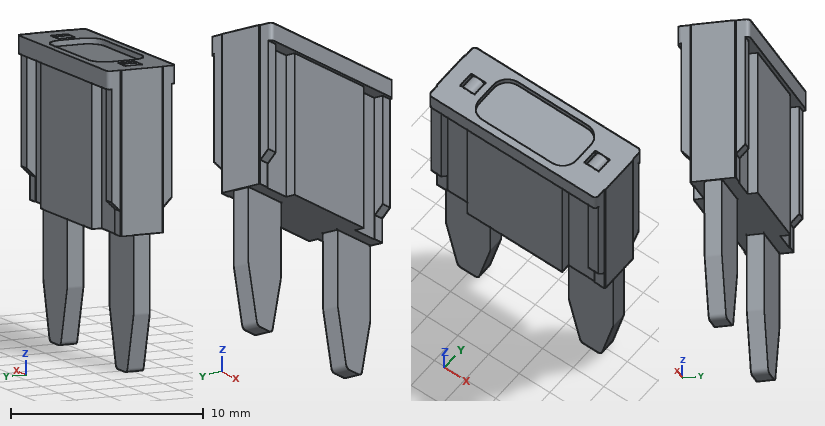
import cadquery as cq

total_height = 16.2
housing_bottom = 7.42

cap_length = 10.92
cap_width = 3.9
cap_thickness = 0.97
cap_corner_radius = 0.23
cap_bottom = total_height - cap_thickness
skirt_height = cap_bottom - housing_bottom

core_width = 2.37
panel_length = 6.19
panel_face_y = 1.73
column_inner_x = 4.8
column_outer_x = cap_length / 2
column_width = column_outer_x - column_inner_x
foot_face_y = 1.23
column_end_z = 9.25

end_to_end = 11.0
rib_face_width = 2.33
rib_root_width = 2.46
rib_face_x = end_to_end / 2

pocket_length = 6.33
pocket_width = 3.03
pocket_corner_radius = 0.9
pocket_depth = 0.3

conductor_thickness = 0.94
blade_outer_x = 5.46
blade_width = 2.92
blade_inner_x = blade_outer_x - blade_width
blade_center_x = blade_outer_x - blade_width / 2
taper_top = 3.2
tip_width = 1.33
tip_radius = 0.3
taper_bend_radius = 0.45
shoulder_radius = 0.16
shoulder_z = 7.48
bridge_height = 0.97
bridge_top = shoulder_z + bridge_height
tab_center_x = 4.05
tab_width = 0.94
tab_top_flat = 0.05
tab_top_radius = (tab_width - tab_top_flat) / 2


def upright_box(length, width, height, center, bottom):
    """Box centred on (x, y) whose lowest face is at the given height."""
    x, y = center
    return (
        cq.Workplane("XY", origin=(x, y, bottom))
        .rect(length, width)
        .extrude(height)
    )


def edges_along_y(body, left, right, height):
    """Edges parallel to Y at one height, between two X positions inclusive."""
    margin = 0.08
    region = cq.selectors.BoxSelector(
        (left - margin, -conductor_thickness, height - margin),
        (right + margin, conductor_thickness, height + margin),
    )
    return body.edges("|Y").edges(region)


def make_cap():
    cap = upright_box(cap_length, cap_width, cap_thickness, (0, 0), cap_bottom)
    return cap.edges("|Z").fillet(cap_corner_radius)


def make_end_rib(side):
    """Rib with slanted flanks on one narrow end; side is -1 or +1."""
    return (
        cq.Workplane("XY", origin=(0, 0, housing_bottom))
        .polyline([
            (side * column_inner_x, -rib_root_width / 2),
            (side * column_outer_x, -rib_root_width / 2),
            (side * rib_face_x, -rib_face_width / 2),
            (side * rib_face_x, rib_face_width / 2),
            (side * column_outer_x, rib_root_width / 2),
            (side * column_inner_x, rib_root_width / 2),
        ])
        .close()
        .extrude(total_height - housing_bottom)
    )


def make_column(side_x, side_y):
    """Corner column that steps back to a shallow foot along a 45 degree slope."""
    foot_top = column_end_z - (panel_face_y - foot_face_y)
    center_x = side_x * (column_inner_x + column_outer_x) / 2
    return (
        cq.Workplane("YZ", origin=(center_x, 0, 0))
        .polyline([
            (0, housing_bottom),
            (side_y * foot_face_y, housing_bottom),
            (side_y * foot_face_y, foot_top),
            (side_y * panel_face_y, column_end_z),
            (side_y * panel_face_y, cap_bottom),
            (0, cap_bottom),
        ])
        .close()
        .extrude(column_width / 2, both=True)
    )


def make_label_pocket():
    pocket = upright_box(
        pocket_length, pocket_width, pocket_depth, (0, 0), total_height - pocket_depth
    )
    return pocket.edges("|Z").fillet(pocket_corner_radius)


def make_tab_slot(side):
    """Passage of constant section for one contact tab, open at the top face."""
    height = total_height - bridge_top
    return upright_box(
        tab_width, conductor_thickness, height, (side * tab_center_x, 0), bridge_top
    )


def make_blade(side):
    """Flat blade with a tapered, rounded tip and rounded outer shoulder."""
    tip_left = blade_center_x - tip_width / 2
    tip_right = blade_center_x + tip_width / 2
    blade = (
        cq.Workplane("XZ")
        .polyline([
            (blade_inner_x, shoulder_z),
            (blade_inner_x, taper_top),
            (tip_left, 0),
            (tip_right, 0),
            (blade_outer_x, taper_top),
            (blade_outer_x, shoulder_z),
        ])
        .close()
        .extrude(conductor_thickness / 2, both=True)
    )
    blade = blade.edges("|Y and <Z").fillet(tip_radius)
    taper_bends = edges_along_y(blade, blade_inner_x, blade_outer_x, taper_top)
    blade = taper_bends.fillet(taper_bend_radius)
    blade = blade.edges("|Y and >Z and >X").fillet(shoulder_radius)
    return blade if side > 0 else blade.mirror("YZ")


def make_tab(side):
    """Contact tab that rises from the bridge to a rounded top end."""
    height = total_height - shoulder_z
    tab = upright_box(
        tab_width, conductor_thickness, height, (side * tab_center_x, 0), shoulder_z
    )
    return tab.edges("|Y and >Z").fillet(tab_top_radius)


def make_conductor():
    bridge_length = 2 * tab_center_x
    conductor = upright_box(bridge_length, conductor_thickness, bridge_height, (0, 0), shoulder_z)
    for side in (-1, 1):
        conductor = conductor.union(make_blade(side)).union(make_tab(side))
    inner_roots = edges_along_y(conductor, -blade_inner_x, blade_inner_x, shoulder_z)
    return inner_roots.fillet(shoulder_radius)


def make_housing(conductor):
    housing = make_cap()
    housing = housing.union(
        upright_box(cap_length, core_width, skirt_height, (0, 0), housing_bottom)
    )
    housing = housing.union(
        upright_box(panel_length, 2 * panel_face_y, skirt_height, (0, 0), housing_bottom)
    )
    for side_x in (-1, 1):
        housing = housing.union(make_end_rib(side_x))
        for side_y in (-1, 1):
            housing = housing.union(make_column(side_x, side_y))
    housing = housing.cut(make_label_pocket())
    for side in (-1, 1):
        housing = housing.cut(make_tab_slot(side))
    return housing.cut(conductor)


conductor = make_conductor()
housing = make_housing(conductor)

result = cq.Compound.makeCompound([housing.val(), conductor.val()])